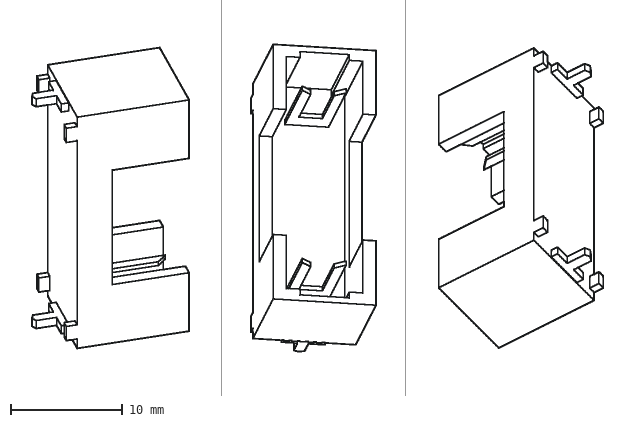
import cadquery as cq

WIDTH = 9.4
LENGTH = 24.4
TOTAL_DEPTH = 13.37
PIN_REACH = 2.87
HOUSING_DEPTH = TOTAL_DEPTH - PIN_REACH
WALL = 1.2
END_WALL = 1.1
END = LENGTH / 2

WINDOW_LENGTH = 12.05
WINDOW_DEPTH = 7.2
WINDOW_FLOOR = HOUSING_DEPTH - WINDOW_DEPTH

FOOT_WIDTH = 0.7
FOOT_LENGTH = 1.5
FOOT_HEIGHT = 1.02
FOOT_INSET = 1.0

CONTACT_WIDTH = 4.0
PIN_THICKNESS = 0.85
PIN_INSET = 0.08
SHOULDER_HEIGHT = 0.7
PIN_WIDTH = 1.0
PIN_TIP = 0.25
FORK_THICKNESS = 0.4
FORK_INSET = 4.15
FORK_TOP = 10.25
FORK_GAP = 2.14
FORK_BEVEL = (CONTACT_WIDTH - FORK_GAP) / 2

RECESS_WIDTH = 4.5
RECESS_DEPTH = END_WALL / 2


def block(x_range, y_range, z_range):
    """Axis-aligned box spanning the given (low, high) ranges."""
    low, high = zip(x_range, y_range, z_range)
    size = [b - a for a, b in zip(low, high)]
    return cq.Workplane("XY").box(*size, centered=False).translate(low)


def centred(width):
    """Range of the given width, centred on zero."""
    return (-width / 2, width / 2)


def plate(half_outline, z_low, thickness):
    """Plate normal to Z, mirrored about X = 0 from its +X half outline."""
    mirrored = [(-x, y) for x, y in reversed(half_outline) if x > 0]
    outline = half_outline + mirrored
    return cq.Workplane("XY").workplane(offset=z_low).polyline(outline).close().extrude(thickness)


def housing():
    body = block(centred(WIDTH), (0, HOUSING_DEPTH), centred(LENGTH))
    cavity = block(centred(WIDTH - 2 * WALL), (WALL, HOUSING_DEPTH), centred(LENGTH - 2 * END_WALL))
    window = block(centred(WIDTH), (WINDOW_FLOOR, HOUSING_DEPTH), centred(WINDOW_LENGTH))
    recesses = block(
        centred(RECESS_WIDTH),
        (WALL, HOUSING_DEPTH),
        centred(LENGTH - 2 * (END_WALL - RECESS_DEPTH)),
    )
    return body.cut(cavity).cut(window).cut(recesses)


def foot():
    """Foot at the -X side of the -Z end."""
    x_low = -WIDTH / 2
    z_low = -END + FOOT_INSET
    return block((x_low, x_low + FOOT_WIDTH), (-FOOT_HEIGHT, 0), (z_low, z_low + FOOT_LENGTH))


def solder_pin():
    """T-shaped pin with a pointed tip, at the -Z end."""
    half_outline = [
        (0, -PIN_REACH),
        (PIN_WIDTH / 2, -PIN_REACH + PIN_TIP),
        (PIN_WIDTH / 2, -SHOULDER_HEIGHT),
        (CONTACT_WIDTH / 2, -SHOULDER_HEIGHT),
        (CONTACT_WIDTH / 2, 0),
    ]
    return plate(half_outline, -END + PIN_INSET, PIN_THICKNESS)


def fork():
    """Two-pronged plate on the cavity floor, with 45-degree lead-in tips, at the -Z end."""
    half_outline = [
        (0, WINDOW_FLOOR),
        (FORK_GAP / 2, WINDOW_FLOOR),
        (FORK_GAP / 2, FORK_TOP - FORK_BEVEL),
        (CONTACT_WIDTH / 2, FORK_TOP),
        (CONTACT_WIDTH / 2, WALL),
    ]
    return plate(half_outline, -END + FORK_INSET - FORK_THICKNESS, FORK_THICKNESS)


result = housing()
for contact_part in (solder_pin(), fork()):
    result = result.union(contact_part).union(contact_part.mirror("XY"))

foot_pair = foot().union(foot().mirror("YZ"))
result = result.union(foot_pair).union(foot_pair.mirror("XY"))